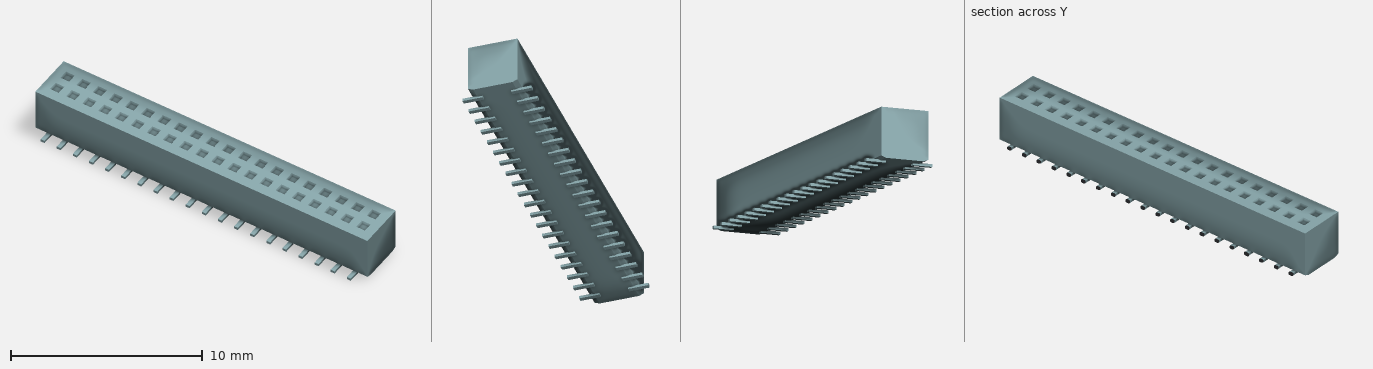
import cadquery as cq
import math

PITCH = 1.0
CONTACTS_PER_ROW = 20
ROWS = 2
END_MARGIN = 0.8
HOUSING_WIDTH = 2.72
TOTAL_HEIGHT = 2.8
TAIL_SPAN = 3.8
TAIL_LENGTH = 1.12
TAIL_WIDTH = 0.24
TAIL_THICKNESS = 0.15
TAIL_EMBED = 0.05
BEVEL_RUN = 0.28
BEVEL_RISE = 0.11
SOCKET_MOUTH = 0.54
SOCKET_FLOOR = 0.37
SOCKET_WALL_ANGLE = 60

HOUSING_LENGTH = (CONTACTS_PER_ROW - 1) * PITCH + 2 * END_MARGIN
HOUSING_BOTTOM = TAIL_THICKNESS - TAIL_EMBED
SOCKET_RUN = (SOCKET_MOUTH - SOCKET_FLOOR) / 2
SOCKET_DEPTH = SOCKET_RUN * math.tan(math.radians(SOCKET_WALL_ANGLE))


def make_housing():
    """Long block, extruded along X, with bevelled long bottom edges."""
    half_width = HOUSING_WIDTH / 2
    half_floor = half_width - BEVEL_RUN
    bevel_top = HOUSING_BOTTOM + BEVEL_RISE
    return (
        cq.Workplane("YZ")
        .polyline([
            (-half_floor, HOUSING_BOTTOM),
            (half_floor, HOUSING_BOTTOM),
            (half_width, bevel_top),
            (half_width, TOTAL_HEIGHT),
            (-half_width, TOTAL_HEIGHT),
            (-half_width, bevel_top),
        ])
        .close()
        .extrude(HOUSING_LENGTH / 2, both=True)
    )


def make_sockets():
    """Grid of square funnels that narrow downward from the top face."""
    socket = (
        cq.Workplane("XY")
        .rect(SOCKET_MOUTH, SOCKET_MOUTH)
        .workplane(offset=-SOCKET_DEPTH)
        .rect(SOCKET_FLOOR, SOCKET_FLOOR)
        .loft(ruled=True)
        .val()
    )
    return (
        cq.Workplane("XY")
        .workplane(offset=TOTAL_HEIGHT)
        .rarray(PITCH, PITCH, CONTACTS_PER_ROW, ROWS)
        .eachpoint(lambda place: socket.located(place))
    )


def make_tails():
    """Flat solder tails under both long edges of the housing."""
    row_spacing = TAIL_SPAN - TAIL_LENGTH
    return (
        cq.Workplane("XY")
        .rarray(PITCH, row_spacing, CONTACTS_PER_ROW, ROWS)
        .rect(TAIL_WIDTH, TAIL_LENGTH)
        .extrude(TAIL_THICKNESS)
    )


result = make_housing().union(make_tails()).cut(make_sockets())